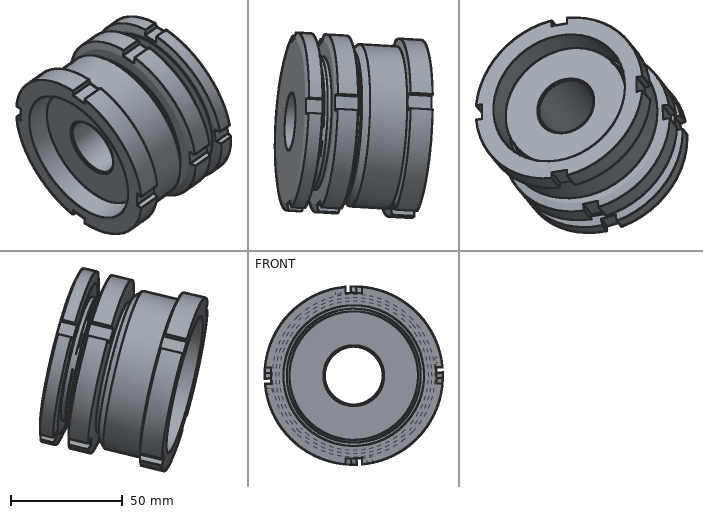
import cadquery as cq
import math


FLANGE_RADIUS = 40.0
BEVEL_ANGLE = 15.0
BEVEL_HEIGHT = 0.95
BEVEL_WIDTH = BEVEL_HEIGHT / math.tan(math.radians(BEVEL_ANGLE))
THREAD_RADIUS = 30.0
SLOT_COUNT = 4
SLOT_FLOOR_RADIUS = 37.0

BASE_HEIGHT = 30.95
BASE_FLANGE_HEIGHT = 11.0
BASE_BODY_RADIUS = 36.5
BASE_TOP_CHAMFER = 3.0
BASE_RECESS_RADIUS = 31.5
BASE_RECESS_DEPTH = 20.0
BASE_SLOT_WIDTH = 7.3

RING_BOTTOM = 33.2
RING_HEIGHT = 11.0
RING_SLOT_WIDTH = 6.95
RING_TURN = 3.5

SLEEVE_BOTTOM = 8.3
SLEEVE_TOP = 57.4
SLEEVE_FLANGE_HEIGHT = 8.0
SLEEVE_RELIEF_RADIUS = 34.95
SLEEVE_RELIEF_DEPTH = 0.4
SLEEVE_THREAD_END = 46.0
SLEEVE_SPIGOT_RADIUS = 28.8
SLEEVE_SPIGOT_LENGTH = 9.6
SLEEVE_NECK_RADIUS = 28.55
SLEEVE_NECK_FILLET = 0.6
SLEEVE_SLOT_WIDTH = 6.95
SLEEVE_TURN = 7.2
BORE_RADIUS = 12.95
BORE_CHAMFER = 0.6


def revolve_profile(points):
    """Solid of revolution about Y from a closed (radius, y) outline."""
    return cq.Workplane("XY").polyline(points).close().revolve(360, (0, 0, 0), (0, 1, 0))


def cut_spanner_slots(body, bottom, top, width, turn):
    """Cut evenly spaced spanner slots through the flange between two heights."""
    depth = FLANGE_RADIUS - SLOT_FLOOR_RADIUS
    slot = cq.Workplane("XY").box(width, top - bottom, 2 * depth).translate(
        (0, (bottom + top) / 2, SLOT_FLOOR_RADIUS + depth)
    )
    for index in range(SLOT_COUNT):
        angle = index * 360 / SLOT_COUNT - turn
        body = body.cut(slot.rotate((0, 0, 0), (0, 1, 0), angle))
    return body


def make_base():
    bevel_height = (FLANGE_RADIUS - BASE_BODY_RADIUS) * math.tan(math.radians(BEVEL_ANGLE))
    base = revolve_profile([
        (BASE_RECESS_RADIUS, 0),
        (FLANGE_RADIUS, 0),
        (FLANGE_RADIUS, BASE_FLANGE_HEIGHT - bevel_height),
        (BASE_BODY_RADIUS, BASE_FLANGE_HEIGHT),
        (BASE_BODY_RADIUS, BASE_HEIGHT - BASE_TOP_CHAMFER),
        (BASE_BODY_RADIUS - BASE_TOP_CHAMFER, BASE_HEIGHT),
        (THREAD_RADIUS, BASE_HEIGHT),
        (THREAD_RADIUS, BASE_RECESS_DEPTH),
        (BASE_RECESS_RADIUS, BASE_RECESS_DEPTH),
    ])
    return cut_spanner_slots(base, 0, BASE_FLANGE_HEIGHT, BASE_SLOT_WIDTH, 0)


def make_lock_ring():
    top = RING_BOTTOM + RING_HEIGHT
    ring = revolve_profile([
        (THREAD_RADIUS, RING_BOTTOM),
        (FLANGE_RADIUS - BEVEL_WIDTH, RING_BOTTOM),
        (FLANGE_RADIUS, RING_BOTTOM + BEVEL_HEIGHT),
        (FLANGE_RADIUS, top - BEVEL_HEIGHT),
        (FLANGE_RADIUS - BEVEL_WIDTH, top),
        (THREAD_RADIUS, top),
    ])
    return cut_spanner_slots(ring, RING_BOTTOM, top, RING_SLOT_WIDTH, RING_TURN)


def make_sleeve():
    flange_bottom = SLEEVE_TOP - SLEEVE_FLANGE_HEIGHT
    spigot_top = SLEEVE_BOTTOM + SLEEVE_SPIGOT_LENGTH
    thread_start = spigot_top + THREAD_RADIUS - SLEEVE_SPIGOT_RADIUS
    neck_bottom = SLEEVE_THREAD_END + THREAD_RADIUS - SLEEVE_NECK_RADIUS
    sleeve = revolve_profile([
        (BORE_RADIUS + BORE_CHAMFER, SLEEVE_BOTTOM),
        (SLEEVE_SPIGOT_RADIUS, SLEEVE_BOTTOM),
        (SLEEVE_SPIGOT_RADIUS, spigot_top),
        (THREAD_RADIUS, thread_start),
        (THREAD_RADIUS, SLEEVE_THREAD_END),
        (SLEEVE_NECK_RADIUS, neck_bottom),
        (SLEEVE_NECK_RADIUS, flange_bottom + SLEEVE_RELIEF_DEPTH),
        (SLEEVE_RELIEF_RADIUS, flange_bottom + SLEEVE_RELIEF_DEPTH),
        (SLEEVE_RELIEF_RADIUS, flange_bottom),
        (FLANGE_RADIUS - BEVEL_WIDTH, flange_bottom),
        (FLANGE_RADIUS, flange_bottom + BEVEL_HEIGHT),
        (FLANGE_RADIUS, SLEEVE_TOP - BEVEL_HEIGHT),
        (FLANGE_RADIUS - BEVEL_WIDTH, SLEEVE_TOP),
        (BORE_RADIUS, SLEEVE_TOP),
        (BORE_RADIUS, SLEEVE_BOTTOM + BORE_CHAMFER),
    ])
    neck_corner = cq.selectors.NearestToPointSelector((0, neck_bottom, 0))
    sleeve = sleeve.edges(neck_corner).fillet(SLEEVE_NECK_FILLET)
    return cut_spanner_slots(sleeve, flange_bottom, SLEEVE_TOP, SLEEVE_SLOT_WIDTH, SLEEVE_TURN)


base = make_base()
lock_ring = make_lock_ring()
sleeve = make_sleeve()

result = cq.Compound.makeCompound([base.val(), lock_ring.val(), sleeve.val()])